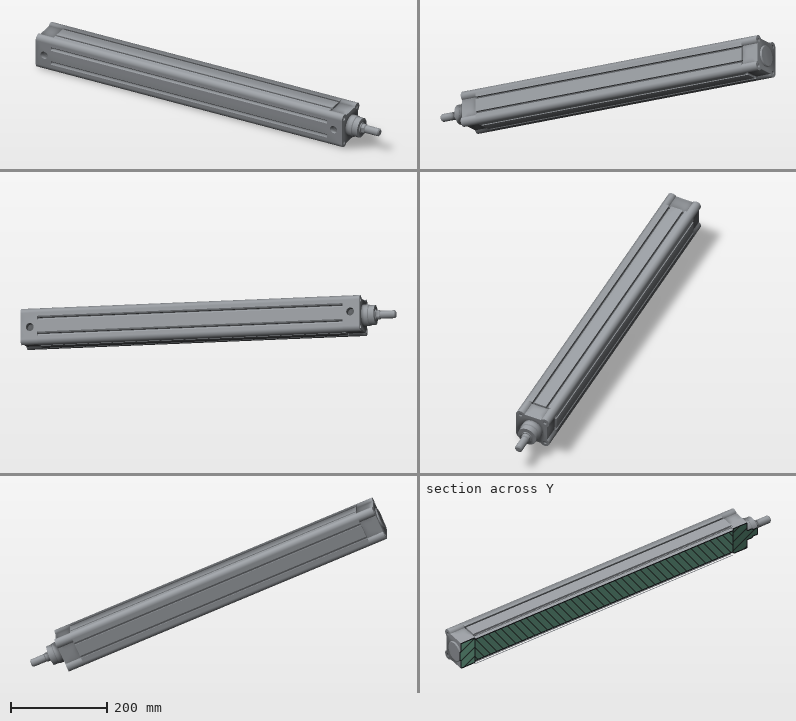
import cadquery as cq
import math

TOTAL_LENGTH = 794.0
SECTION_SIZE = 76.0
REAR_BOSS_LENGTH = 3.0
CAP_LENGTH = 36.0
FRONT_FACE_X = 725.0

HALF_SECTION = SECTION_SIZE / 2
CORNER_RADIUS = 10.0
CORNER_CENTRE = HALF_SECTION - CORNER_RADIUS

RELIEVED_SIDES = (0, -90, 180)
PORT_SIDE = 90

SCOOP_DEPTH = 5.1
REAR_LOBE_RADIUS = 9.5
FRONT_LOBE_RADIUS = CORNER_RADIUS
SCREW_HOLE_DIAMETER = 8.0
SCREW_SPACING = 56.0
SCREW_HOLE_DEPTH = 4.0
PORT_DIAMETER = 17.0
PORT_DEPTH = 16.0
PORT_TO_CAP_FACE = 20.0
PORT_OFFSET_Z = 2.0
BOSS_DIAMETER = 45.0
BOSS_CHAMFER = 1.5

COLLAR_LENGTH = 14.0
NOSE_DIAMETER = 42.0
NOSE_LENGTH = 12.0
WIPER_DIAMETER = 24.0
WIPER_LENGTH = 2.0

T_SLOT_OFFSET = 16.0
T_SLOT_MOUTH = 5.0
T_SLOT_LIP = 1.5
T_SLOT_WIDTH = 8.0
T_SLOT_DEPTH = 9.5

FLARED_SLOT_OFFSET = 17.0
FLARED_SLOT_MOUTH = 8.0
FLARED_SLOT_WIDTH = 2.0
FLARED_SLOT_DEPTH = 9.5

ROD_DIAMETER = 20.0
ROD_END_CHAMFER = 2.0
ACROSS_FLATS = 17.0
THREAD_DIAMETER = 17.0
THREAD_LENGTH = 32.0
THREAD_CHAMFER = 2.0

REAR_FACE_X = REAR_BOSS_LENGTH
BARREL_START_X = REAR_FACE_X + CAP_LENGTH
BARREL_END_X = FRONT_FACE_X - CAP_LENGTH
COLLAR_END_X = FRONT_FACE_X + COLLAR_LENGTH
NOSE_END_X = COLLAR_END_X + NOSE_LENGTH
WIPER_END_X = NOSE_END_X + WIPER_LENGTH
THREAD_START_X = TOTAL_LENGTH - THREAD_LENGTH


def section_plane(x):
    """Plane across the axis: local x is Y, local y is Z, normal is +X."""
    return cq.Workplane("YZ", origin=(x, 0, 0))


def cylinder(start_x, end_x, diameter):
    return section_plane(start_x).circle(diameter / 2).extrude(end_x - start_x)


def square_bar(start_x, end_x):
    """Square bar with rounded long edges."""
    bar = section_plane(start_x).rect(SECTION_SIZE, SECTION_SIZE).extrude(end_x - start_x)
    return bar.edges("|X").fillet(CORNER_RADIUS)


def turned(shape, angle):
    return shape.rotate((0, 0, 0), (1, 0, 0), angle)


def scoop(start_x, end_x, lobe_radius):
    """Flat-bottomed relief in the +Z side, running up onto the round lobes at the corners."""
    floor_z = HALF_SECTION - SCOOP_DEPTH
    middle_z = HALF_SECTION - SCOOP_DEPTH / 2
    lobe_centre_z = HALF_SECTION - lobe_radius

    def lobe_y(z):
        return CORNER_CENTRE - math.sqrt(lobe_radius**2 - (z - lobe_centre_z) ** 2)

    floor_y = lobe_y(floor_z)
    middle_y = lobe_y(middle_z)
    return (
        section_plane(start_x)
        .moveTo(-floor_y, floor_z)
        .lineTo(floor_y, floor_z)
        .threePointArc((middle_y, middle_z), (CORNER_CENTRE, HALF_SECTION))
        .lineTo(-CORNER_CENTRE, HALF_SECTION)
        .threePointArc((-middle_y, middle_z), (-floor_y, floor_z))
        .close()
        .extrude(end_x - start_x)
    )


def screw_holes(start_x, end_x):
    return (
        section_plane(start_x)
        .rect(SCREW_SPACING, SCREW_SPACING, forConstruction=True)
        .vertices()
        .circle(SCREW_HOLE_DIAMETER / 2)
        .extrude(end_x - start_x)
    )


def port(x, z):
    """Air port bored into the flat -Y side."""
    return (
        cq.Workplane("XZ", origin=(x, -HALF_SECTION, z))
        .circle(PORT_DIAMETER / 2)
        .extrude(-PORT_DEPTH)
    )


def cap_block(start_x, end_x, lobe_radius):
    """End block with reliefs on the +Z, +Y and -Z sides; the -Y port side stays flat."""
    block = square_bar(start_x, end_x)
    relief = scoop(start_x, end_x, lobe_radius)
    for angle in RELIEVED_SIDES:
        block = block.cut(turned(relief, angle))
    return block


def make_rear_cap():
    cap = cap_block(REAR_FACE_X, BARREL_START_X, REAR_LOBE_RADIUS)
    cap = cap.cut(screw_holes(REAR_FACE_X, REAR_FACE_X + SCREW_HOLE_DEPTH))
    cap = cap.cut(port(REAR_FACE_X + PORT_TO_CAP_FACE, -PORT_OFFSET_Z))
    boss = cylinder(0, REAR_FACE_X, BOSS_DIAMETER).faces("<X").chamfer(BOSS_CHAMFER)
    return cap.union(boss)


def make_front_cap():
    cap = cap_block(BARREL_END_X, FRONT_FACE_X, FRONT_LOBE_RADIUS)
    cap = cap.cut(screw_holes(FRONT_FACE_X - SCREW_HOLE_DEPTH, FRONT_FACE_X))
    cap = cap.cut(port(FRONT_FACE_X - PORT_TO_CAP_FACE, PORT_OFFSET_Z))
    collar = cylinder(FRONT_FACE_X, COLLAR_END_X, BOSS_DIAMETER).faces(">X").chamfer(BOSS_CHAMFER)
    nose = cylinder(COLLAR_END_X, NOSE_END_X, NOSE_DIAMETER)
    wiper = cylinder(NOSE_END_X, WIPER_END_X, WIPER_DIAMETER)
    return cap.union(collar).union(nose).union(wiper)


def mirrored_slots(outline):
    """Slot along the +Z side of the barrel with this (Y, Z) outline, and its mirror image across Y = 0."""
    slot = section_plane(BARREL_START_X).polyline(outline).close()
    slot = slot.extrude(BARREL_END_X - BARREL_START_X)
    return slot.union(slot.mirror("XZ"))


def t_slots():
    mouth_half = T_SLOT_MOUTH / 2
    cavity_half = T_SLOT_WIDTH / 2
    lip_z = HALF_SECTION - T_SLOT_LIP
    floor_z = HALF_SECTION - T_SLOT_DEPTH
    return mirrored_slots([
        (T_SLOT_OFFSET - mouth_half, HALF_SECTION),
        (T_SLOT_OFFSET - mouth_half, lip_z),
        (T_SLOT_OFFSET - cavity_half, lip_z),
        (T_SLOT_OFFSET - cavity_half, floor_z),
        (T_SLOT_OFFSET + cavity_half, floor_z),
        (T_SLOT_OFFSET + cavity_half, lip_z),
        (T_SLOT_OFFSET + mouth_half, lip_z),
        (T_SLOT_OFFSET + mouth_half, HALF_SECTION),
    ])


def flared_slots():
    """Straight slots whose mouths open out at 45 degrees."""
    mouth_half = FLARED_SLOT_MOUTH / 2
    slot_half = FLARED_SLOT_WIDTH / 2
    flare_z = HALF_SECTION - (mouth_half - slot_half)
    floor_z = HALF_SECTION - FLARED_SLOT_DEPTH
    return mirrored_slots([
        (FLARED_SLOT_OFFSET - mouth_half, HALF_SECTION),
        (FLARED_SLOT_OFFSET - slot_half, flare_z),
        (FLARED_SLOT_OFFSET - slot_half, floor_z),
        (FLARED_SLOT_OFFSET + slot_half, floor_z),
        (FLARED_SLOT_OFFSET + slot_half, flare_z),
        (FLARED_SLOT_OFFSET + mouth_half, HALF_SECTION),
    ])


def make_barrel():
    barrel = square_bar(BARREL_START_X, BARREL_END_X)
    for angle in RELIEVED_SIDES:
        barrel = barrel.cut(turned(t_slots(), angle))
    return barrel.cut(turned(flared_slots(), PORT_SIDE))


def make_rod():
    """Rod end with two wrench flats facing -Y and +Y, and a plain cylinder for the thread."""
    shank = cylinder(WIPER_END_X, THREAD_START_X, ROD_DIAMETER).faces(">X").chamfer(ROD_END_CHAMFER)
    flats = cq.Workplane("XY").box(2 * TOTAL_LENGTH, ACROSS_FLATS, 2 * ROD_DIAMETER)
    shank = shank.intersect(flats)
    thread = cylinder(THREAD_START_X, TOTAL_LENGTH, THREAD_DIAMETER).faces(">X").chamfer(THREAD_CHAMFER)
    return shank.union(thread)


rear_cap = make_rear_cap()
barrel = make_barrel()
front_cap = make_front_cap()
rod = make_rod()

result = cq.Compound.makeCompound([rear_cap.val(), barrel.val(), front_cap.val(), rod.val()])